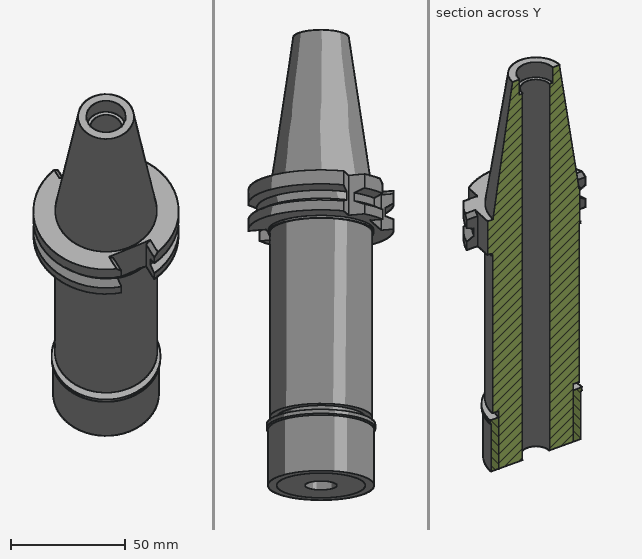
import cadquery as cq

total_height = 203.5
gauge_z = 135.0
flange_top_z = 134.0
flange_bottom_z = 116.0
collar_bottom_z = 115.0
shank_bottom_z = 30.7
nut_top_z = 27.7
nut_rim_height = 1.8

taper_small_radius = 12.2
taper_large_radius = 22.2
flange_radius = 31.7
collar_radius = 23.0
shank_radius = 22.4
nose_radius = 19.3

groove_center_z = 124.0
groove_radius = 28.0
groove_mouth_width = 7.3
groove_floor_width = 3.7

slot_width = 16.0
slot_chamfer = 2.0
left_slot_floor = 25.0
right_slot_floor = 22.8

notch_offset = 18.5

bore_radius = 7.0
counterbore_radius = 8.5
counterbore_depth = 8.1

nut_radius = 23.2
nut_rim_radius = 23.8
nut_rim_chamfer = nut_rim_radius - nut_radius

flange_height = flange_top_z - flange_bottom_z


def revolve_profile(points):
    """Turn a closed (radius, height) outline about the Z axis."""
    return cq.Workplane("XZ").polyline(points).close().revolve(360, (0, 0, 0), (0, 1, 0))


def turned_blank():
    """Taper, grooved flange, collar, shank and threaded nose, all round."""
    half_mouth = groove_mouth_width / 2
    half_floor = groove_floor_width / 2
    return revolve_profile([
        (0, 0),
        (nose_radius, 0),
        (nose_radius, shank_bottom_z),
        (shank_radius, shank_bottom_z),
        (shank_radius, collar_bottom_z),
        (collar_radius, collar_bottom_z),
        (collar_radius, flange_bottom_z),
        (flange_radius, flange_bottom_z),
        (flange_radius, groove_center_z - half_mouth),
        (groove_radius, groove_center_z - half_floor),
        (groove_radius, groove_center_z + half_floor),
        (flange_radius, groove_center_z + half_mouth),
        (flange_radius, flange_top_z),
        (taper_large_radius, flange_top_z),
        (taper_large_radius, gauge_z),
        (taper_small_radius, total_height),
        (0, total_height),
    ])


def drive_slot(side, floor_distance):
    """Cutter for a slot through the flange, flared at its top edges; side is -1 or +1 along X."""
    half_width = slot_width / 2
    flared_half_width = half_width + slot_chamfer
    chamfer_z = flange_top_z - slot_chamfer
    return (
        cq.Workplane("YZ", origin=(side * floor_distance, 0, 0))
        .polyline([
            (-half_width, flange_bottom_z),
            (half_width, flange_bottom_z),
            (half_width, chamfer_z),
            (flared_half_width, flange_top_z),
            (-flared_half_width, flange_top_z),
            (-half_width, chamfer_z),
        ])
        .close()
        .extrude(side * flange_radius)
    )


def orientation_notch():
    """Cutter for the square notch, open to the rim and to both faces of the flange."""
    return (
        cq.Workplane("XY", origin=(-notch_offset, notch_offset, flange_bottom_z))
        .rect(-flange_radius, flange_radius, centered=False)
        .extrude(flange_height)
    )


def stepped_bore():
    """Cutter for the through bore and the counterbore at the small end of the taper."""
    through = cq.Workplane("XY").circle(bore_radius).extrude(total_height)
    counterbore = (
        cq.Workplane("XY", origin=(0, 0, total_height - counterbore_depth))
        .circle(counterbore_radius)
        .extrude(counterbore_depth)
    )
    return through.union(counterbore)


def make_holder():
    """Tool holder whose nose runs down through the nut."""
    return (
        turned_blank()
        .cut(drive_slot(-1, left_slot_floor))
        .cut(drive_slot(1, right_slot_floor))
        .cut(orientation_notch())
        .cut(stepped_bore())
    )


def make_nut():
    """Sleeve nut around the nose, with a slightly wider rim at its upper end."""
    rim_bottom_z = nut_top_z - nut_rim_height
    return revolve_profile([
        (nose_radius, 0),
        (nut_radius, 0),
        (nut_radius, rim_bottom_z - nut_rim_chamfer),
        (nut_rim_radius, rim_bottom_z),
        (nut_rim_radius, nut_top_z),
        (nose_radius, nut_top_z),
    ])


holder = make_holder()
nut = make_nut()

result = cq.Compound.makeCompound([holder.val(), nut.val()])